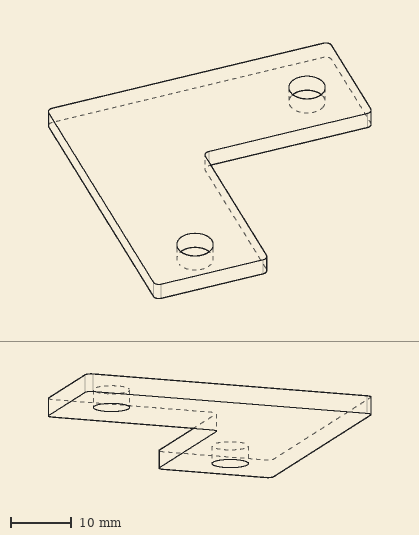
import cadquery as cq

leg_length = 50.0
leg_width = 20.0
thickness = 3.0
corner_radius = 1.0

hole_diameter = 6.0
hole_end_distance = 7.8
hole_along = leg_length - hole_end_distance
hole_across = leg_width / 2

plate = (
    cq.Workplane("XY")
    .polyline([
        (0, 0),
        (leg_length, 0),
        (leg_length, leg_width),
        (leg_width, leg_width),
        (leg_width, leg_length),
        (0, leg_length),
    ])
    .close()
    .extrude(thickness)
)

plate = plate.edges("|Z").fillet(corner_radius)

result = (
    plate.faces(">Z")
    .workplane(origin=(0, 0, thickness))
    .pushPoints([(hole_along, hole_across), (hole_across, hole_along)])
    .hole(hole_diameter)
)